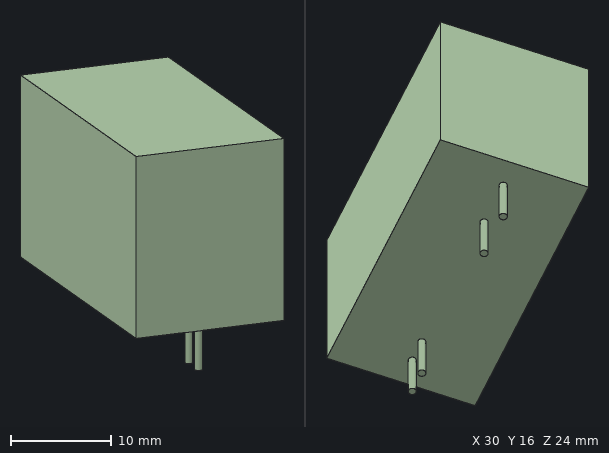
import cadquery as cq

case_length = 30.0
case_width = 16.0
case_height = 19.0

total_height = 24.0
pin_length = total_height - case_height
pin_diameter = 0.8
pin_pitch = 2.52
outer_pin_x = 12.0
pin_positions = [
    (-outer_pin_x, 0),
    (-outer_pin_x + 2 * pin_pitch, 0),
    (outer_pin_x - pin_pitch, 0),
    (outer_pin_x, 0),
]

case = cq.Workplane("XY").box(case_length, case_width, case_height, centered=(True, True, False))
pins = cq.Workplane("XY").pushPoints(pin_positions).circle(pin_diameter / 2).extrude(-pin_length)

result = case.union(pins)